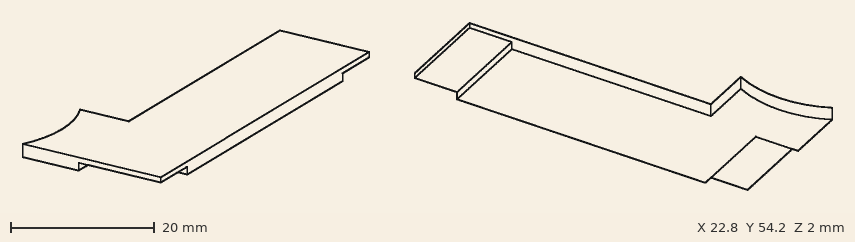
import cadquery as cq

width = 22.75
length = 54.2
thickness = 2.0

leg_width = 14.75
foot_length = 14.9
toe_sag = 1.75

plate_thickness = 0.8
end_step_length = 6.9
foot_block_width = 9.2

leg_left = width - leg_width
step_height = thickness - plate_thickness


def l_shaped_body():
    """Full-thickness L with a concave arc at the toe of the foot."""
    return (
        cq.Workplane("XY")
        .lineTo(width, 0)
        .lineTo(width, length)
        .lineTo(leg_left, length)
        .lineTo(leg_left, foot_length)
        .lineTo(0, foot_length)
        .threePointArc((toe_sag, foot_length / 2), (0, 0))
        .close()
        .extrude(thickness)
    )


def underside_step(left, front):
    """Block removed below the plate, from the given corner to the right side."""
    return (
        cq.Workplane("XY")
        .box(width - left, end_step_length, step_height, centered=False)
        .translate((left, front, 0))
    )


front_step = underside_step(foot_block_width, 0)
back_step = underside_step(leg_left, length - end_step_length)

result = l_shaped_body().cut(front_step).cut(back_step)